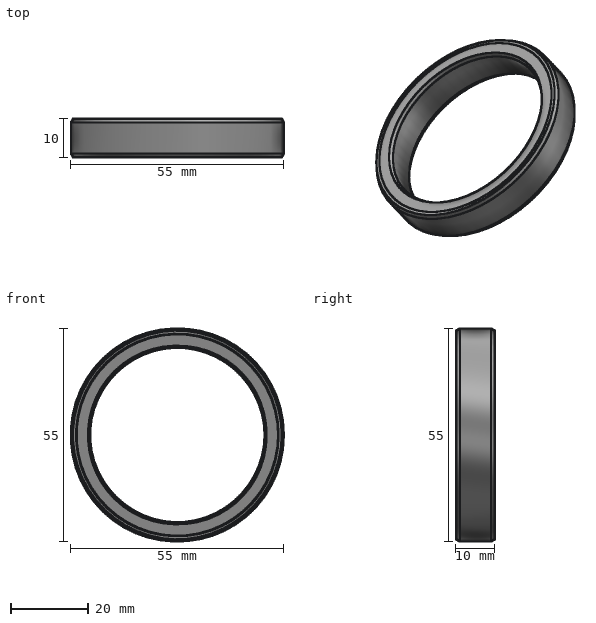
import cadquery as cq
import math

outer_diameter = 55.0
bore_diameter = 45.0
joint_diameter = 52.0
width = 10.0

rim_chamfer_length = 1.0
rim_chamfer_angle = 30.0

groove_width = 0.15
groove_depth = 0.35

outer_radius = outer_diameter / 2
bore_radius = bore_diameter / 2
joint_radius = joint_diameter / 2
front_y = -width / 2
back_y = width / 2
rim_chamfer_depth = rim_chamfer_length * math.tan(math.radians(rim_chamfer_angle))


def revolve_about_y(outline):
    """Revolve a closed outline of (radius, y) points into a full ring around the Y axis."""
    axis_start = (0, 0, 0)
    axis_end = (0, 1, 0)
    return cq.Workplane("XY").polyline(outline).close().revolve(360, axis_start, axis_end)


def make_outer_ring():
    """Outer ring with a chamfered rim; its front inner edge is bevelled to open the V groove."""
    return revolve_about_y([
        (joint_radius + groove_width, front_y),
        (outer_radius - rim_chamfer_depth, front_y),
        (outer_radius, front_y + rim_chamfer_length),
        (outer_radius, back_y - rim_chamfer_length),
        (outer_radius - rim_chamfer_depth, back_y),
        (joint_radius, back_y),
        (joint_radius, front_y + groove_depth),
    ])


def make_inner_ring():
    """Inner ring, plain on the outside, with a bore chamfered at both ends."""
    return revolve_about_y([
        (bore_radius + rim_chamfer_depth, front_y),
        (joint_radius, front_y),
        (joint_radius, back_y),
        (bore_radius + rim_chamfer_depth, back_y),
        (bore_radius, back_y - rim_chamfer_length),
        (bore_radius, front_y + rim_chamfer_length),
    ])


outer_ring = make_outer_ring()
inner_ring = make_inner_ring()

result = cq.Compound.makeCompound([outer_ring.val(), inner_ring.val()])